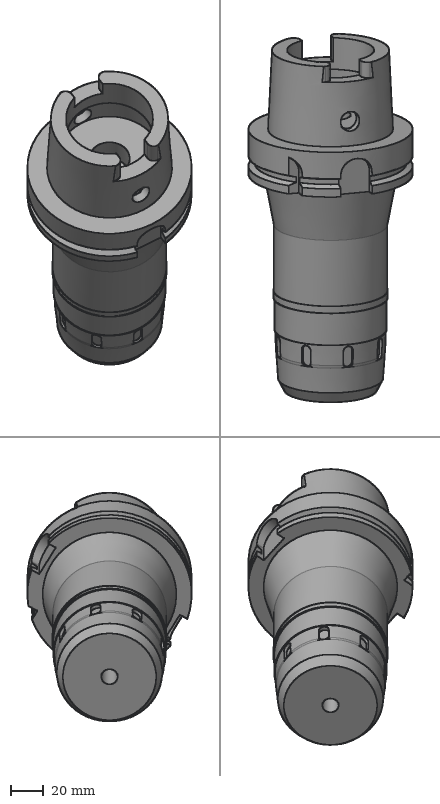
import cadquery as cq

total_height = 215.0
flange_bottom = 136.5
flange_top = 165.0

flange_diameter = 100.0
flange_radius = flange_diameter / 2
groove_floor_radius = 46.2
groove_bottom_outer = 141.7
groove_bottom_inner = 143.5
groove_top_inner = 146.6
groove_top_outer = 148.1

taper_base_radius = 38.0
taper_tip_radius = 35.7

neck_radius = 40.6
body_radius = 34.6
body_top = 104.7
band_top = 62.8
band_radius = 34.8
band_bottom = 58.3
collar_radius = 34.2
nut_top = 37.8
nut_top_radius = 33.8
nut_rim_top = 25.0
nut_rim_top_radius = 33.3
nut_rim_bottom = 23.2
nut_rim_bottom_radius = 33.1
nose_chamfer_top = 7.0
nose_chamfer_radius = 32.0
nose_radius = 28.4

mouth_radius = 26.5
mouth_bottom = 195.0
undercut_radius = 31.5
bore_floor = 174.0
counterbore_radius = 12.3
counterbore_depth = 17.2
coolant_radius = 5.0

key_width = 20.0
drive_relief_x = 32.2
drive_corner_radius = 4.3
left_drive_depth = 9.9
right_drive_depth = 15.0

keyway_floor_x = 43.6
keyway_top = 160.2
index_notch_floor_x = 32.5
index_notch_edge_y = 31.4

cross_hole_radius = 6.0
cross_hole_height = 180.2

spanner_slot_count = 8
spanner_slot_width = 6.2
spanner_slot_bottom = 23.2
spanner_slot_top = 36.5
spanner_slot_floor = 31.4

clearance = 10.8


def turned_body():
    """Outer shape, revolved about Z from its half outline."""
    outline = [
        (0, 0),
        (nose_radius, 0),
        (nose_chamfer_radius, nose_chamfer_top),
        (nut_rim_bottom_radius, nut_rim_bottom),
        (nut_rim_top_radius, nut_rim_top),
        (nut_top_radius, nut_top),
        (collar_radius, nut_top),
        (collar_radius, band_bottom),
        (band_radius, band_bottom),
        (band_radius, band_top),
        (body_radius, band_top),
        (body_radius, body_top),
        (neck_radius, flange_bottom),
        (flange_radius, flange_bottom),
        (flange_radius, groove_bottom_outer),
        (groove_floor_radius, groove_bottom_inner),
        (groove_floor_radius, groove_top_inner),
        (flange_radius, groove_top_outer),
        (flange_radius, flange_top),
        (taper_base_radius, flange_top),
        (taper_tip_radius, total_height),
        (0, total_height),
    ]
    return cq.Workplane("XZ").polyline(outline).close().revolve(360, (0, 0), (0, 1))


def bore():
    """Shank bore with its undercut, counterbore and coolant hole."""
    counterbore_floor = bore_floor - counterbore_depth
    outline = [
        (0, 0),
        (coolant_radius, 0),
        (coolant_radius, counterbore_floor),
        (counterbore_radius, counterbore_floor),
        (counterbore_radius, bore_floor),
        (undercut_radius, bore_floor),
        (undercut_radius, mouth_bottom),
        (mouth_radius, mouth_bottom),
        (mouth_radius, total_height),
        (0, total_height),
    ]
    return cq.Workplane("XZ").polyline(outline).close().revolve(360, (0, 0), (0, 1))


def drive_slot(side, depth):
    """Slot across the shank rim that flares through rounded corners to a flat relief.

    side is -1 for the slot on -X and 1 for the slot on +X.
    """
    half_width = key_width / 2
    flare_y = half_width + drive_corner_radius
    flare_x = side * (drive_relief_x - drive_corner_radius)
    relief_x = side * drive_relief_x
    outer_x = side * (taper_base_radius + clearance)
    outer_y = taper_base_radius
    arc_offset = drive_corner_radius * 0.5 ** 0.5
    arc_x = flare_x + side * arc_offset
    arc_y = flare_y - arc_offset
    return (
        cq.Workplane("XY", origin=(0, 0, total_height - depth))
        .moveTo(0, -half_width)
        .lineTo(flare_x, -half_width)
        .threePointArc((arc_x, -arc_y), (relief_x, -flare_y))
        .lineTo(relief_x, -outer_y)
        .lineTo(outer_x, -outer_y)
        .lineTo(outer_x, outer_y)
        .lineTo(relief_x, outer_y)
        .lineTo(relief_x, flare_y)
        .threePointArc((arc_x, arc_y), (flare_x, half_width))
        .lineTo(0, half_width)
        .close()
        .extrude(depth + clearance)
    )


def keyway(side, center_y, floor_x):
    """Round-topped keyway cut into the flange along X, open at the flange bottom."""
    radius = key_width / 2
    spring_height = keyway_top - radius
    return (
        cq.Workplane("YZ", origin=(side * floor_x, 0, 0))
        .moveTo(center_y - radius, flange_bottom)
        .lineTo(center_y - radius, spring_height)
        .threePointArc((center_y, keyway_top), (center_y + radius, spring_height))
        .lineTo(center_y + radius, flange_bottom)
        .close()
        .extrude(side * flange_radius)
    )


def cross_hole():
    """Hole along X through both walls of the shank."""
    return (
        cq.Workplane("YZ", origin=(0, 0, cross_hole_height))
        .circle(cross_hole_radius)
        .extrude(flange_radius, both=True)
    )


def spanner_slots():
    """Flat-bottomed slots with round ends, spaced evenly around the nut."""
    slot_length = spanner_slot_top - spanner_slot_bottom
    slot_middle = (spanner_slot_top + spanner_slot_bottom) / 2
    slot = (
        cq.Workplane("YZ", origin=(spanner_slot_floor, 0, slot_middle))
        .slot2D(slot_length, spanner_slot_width, 90)
        .extrude(clearance)
    )
    slots = cq.Workplane("XY")
    for index in range(spanner_slot_count):
        turned_slot = slot.rotate((0, 0, 0), (0, 0, 1), index * 360 / spanner_slot_count)
        slots = slots.add(turned_slot)
    return slots.combine()


result = turned_body().cut(bore())
result = result.cut(drive_slot(-1, left_drive_depth))
result = result.cut(drive_slot(1, right_drive_depth))
for keyway_side in (-1, 1):
    result = result.cut(keyway(keyway_side, 0, keyway_floor_x))
result = result.cut(keyway(-1, index_notch_edge_y + key_width / 2, index_notch_floor_x))
result = result.cut(cross_hole())
result = result.cut(spanner_slots())